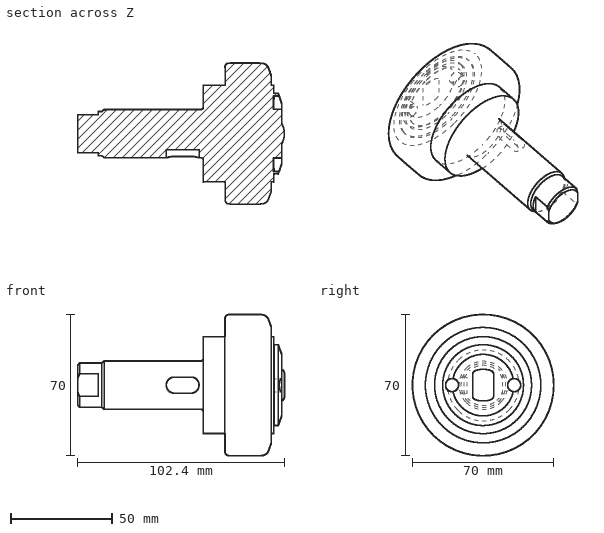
import cadquery as cq
import math


shank_diameter = 24.0
tip_diameter = 22.0
tip_length = 11.9
tip_chamfer = 1.0
shoulder_bevel_length = 1.2
flat_spacing = 18.9
flat_length = 10.0

slot_length = 16.2
slot_width = 8.0
slot_depth = 4.0
slot_center_x = 51.9

flange_diameter = 48.0
flange_start = 62.1
flange_end = 97.0
root_fillet = 1.2

roller_diameter = 70.0
roller_start = 72.8
roller_end = 95.8
roller_back_rounding = 2.0
roller_front_rounding = 4.0
roller_front_straight_start = 90.7
crown_height = 0.06

neck_diameter = 35.2
cap_diameter = 40.0
cap_start = 97.2
cap_rim_end = 99.2
cap_face = 101.0
bevel_angle = math.radians(70)

pin_hole_diameter = 6.5
pin_hole_depth = 4.1
pin_hole_offset = 15.4

overall_length = 102.4
nub_radius = 10.4
nub_length = 16.2
nub_edge_rounding = 2.6
nub_crown_height = 0.1


def cylinder_x(diameter, start, end):
    return cq.Workplane("YZ", origin=(start, 0, 0)).circle(diameter / 2).extrude(end - start)


def make_stud():
    shank_radius = shank_diameter / 2
    tip_radius = tip_diameter / 2
    profile = (
        cq.Workplane("XY")
        .lineTo(0, tip_radius - tip_chamfer)
        .lineTo(tip_chamfer, tip_radius)
        .lineTo(tip_length, tip_radius)
        .lineTo(tip_length + shoulder_bevel_length, shank_radius)
        .lineTo(flange_start - root_fillet, shank_radius)
        .radiusArc((flange_start, shank_radius + root_fillet), -root_fillet)
        .lineTo(flange_start, 0)
        .close()
    )
    return profile.revolve(360, (0, 0, 0), (1, 0, 0))


def make_roller():
    outer_radius = roller_diameter / 2
    edge_radius = outer_radius - crown_height
    back_edge = roller_start + roller_back_rounding
    crown_center = (back_edge + roller_front_straight_start) / 2
    bevel_start_x = roller_front_straight_start + roller_front_rounding * math.sin(bevel_angle)
    bevel_start_radius = edge_radius - roller_front_rounding * (1 - math.cos(bevel_angle))
    bevel_end_radius = bevel_start_radius - (roller_end - bevel_start_x) * math.tan(bevel_angle)
    profile = (
        cq.Workplane("XY")
        .moveTo(roller_start, 0)
        .lineTo(roller_start, edge_radius - roller_back_rounding)
        .radiusArc((back_edge, edge_radius), roller_back_rounding)
        .threePointArc((crown_center, outer_radius), (roller_front_straight_start, edge_radius))
        .radiusArc((bevel_start_x, bevel_start_radius), roller_front_rounding)
        .lineTo(roller_end, bevel_end_radius)
        .lineTo(roller_end, 0)
        .close()
    )
    return profile.revolve(360, (0, 0, 0), (1, 0, 0))


def make_cap():
    rim_radius = cap_diameter / 2
    face_radius = rim_radius - (cap_face - cap_rim_end) * math.tan(bevel_angle)
    profile = (
        cq.Workplane("XY")
        .moveTo(cap_start, 0)
        .lineTo(cap_start, rim_radius)
        .lineTo(cap_rim_end, rim_radius)
        .lineTo(cap_face, face_radius)
        .lineTo(cap_face, 0)
        .close()
    )
    return profile.revolve(360, (0, 0, 0), (1, 0, 0))


def make_nub():
    """The part of a rounded wheel, turning about Z, that stands out of the cap face."""
    half_length = nub_length / 2
    edge_radius = nub_radius - nub_crown_height
    wheel = (
        cq.Workplane("XZ")
        .moveTo(0, -half_length)
        .lineTo(edge_radius, -half_length)
        .threePointArc((nub_radius, 0), (edge_radius, half_length))
        .lineTo(0, half_length)
        .close()
        .revolve(360, (0, 0, 0), (0, 1, 0))
        .edges("%CIRCLE")
        .fillet(nub_edge_rounding)
        .translate((overall_length - nub_radius, 0, 0))
    )
    return wheel.intersect(cylinder_x(cap_diameter, cap_start, overall_length))


def make_flat_cutter(side):
    cutter_size = tip_diameter
    center_y = side * (flat_spacing + cutter_size) / 2
    return cq.Workplane("XY", origin=(flat_length / 2, center_y, 0)).box(flat_length, cutter_size, cutter_size)


def make_slot_cutter():
    floor_y = slot_depth - shank_diameter / 2
    return (
        cq.Workplane("XZ", origin=(slot_center_x, floor_y, 0))
        .slot2D(slot_length, slot_width)
        .extrude(shank_diameter / 2)
    )


def make_pin_hole(side):
    hole = cylinder_x(pin_hole_diameter, cap_face - pin_hole_depth, cap_face)
    return hole.translate((0, side * pin_hole_offset, 0))


result = make_stud()
result = result.union(cylinder_x(flange_diameter, flange_start, flange_end))
result = result.union(cylinder_x(neck_diameter, flange_end, cap_start))
result = result.union(make_roller()).union(make_cap()).union(make_nub())
for side in (-1, 1):
    result = result.cut(make_flat_cutter(side)).cut(make_pin_hole(side))
result = result.cut(make_slot_cutter())